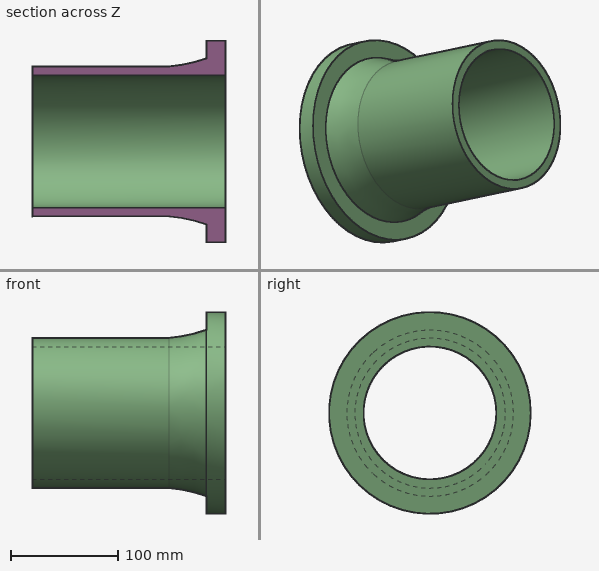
import cadquery as cq
import math

total_length = 180.0
pipe_radius = 140.0 / 2
bore_radius = 123.4 / 2
flange_radius = 188.0 / 2
flange_thickness = 18.0

flare_length = 35.0
flare_end_radius = 155.0 / 2
flare_arc_radius = 140.0

flange_start = total_length - flange_thickness
flare_start = flange_start - flare_length


def flare_arc_middle():
    """Middle point (x, radius) of the flare arc, which sags from its chord towards the pipe axis."""
    rise = flare_end_radius - pipe_radius
    chord = math.hypot(flare_length, rise)
    sag = flare_arc_radius - math.sqrt(flare_arc_radius**2 - (chord / 2) ** 2)
    middle_x = flare_start + flare_length / 2 + sag * rise / chord
    middle_radius = pipe_radius + rise / 2 - sag * flare_length / chord
    return middle_x, middle_radius


def make_flanged_stub():
    """Revolve the wall section, drawn as (x, radius), about the X axis."""
    section = (
        cq.Workplane("XY")
        .moveTo(0, bore_radius)
        .lineTo(0, pipe_radius)
        .lineTo(flare_start, pipe_radius)
        .threePointArc(flare_arc_middle(), (flange_start, flare_end_radius))
        .lineTo(flange_start, flange_radius)
        .lineTo(total_length, flange_radius)
        .lineTo(total_length, bore_radius)
        .close()
    )
    return section.revolve(360, (0, 0, 0), (1, 0, 0))


result = make_flanged_stub()